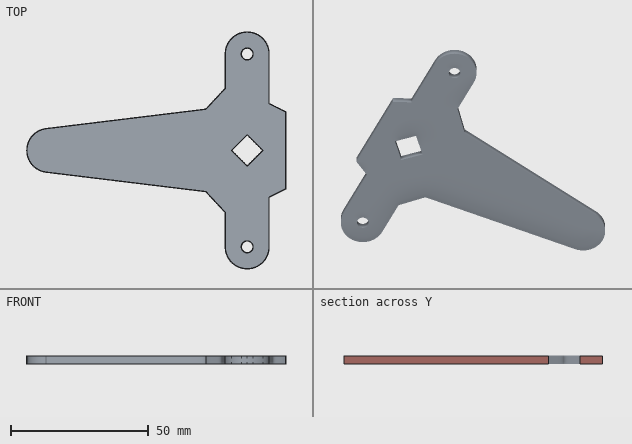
import cadquery as cq
import math

thickness = 3.0
end_radius = 8.0

tip_center_x = -72.0
lever_root_x = -15.0
lever_root_half_width = 15.0

arm_half_width = end_radius
arm_hole_offset = 35.0
arm_hole_diameter = 4.2
gusset_top_y = 22.5

nose_x = 14.0
nose_half_width = 14.0
nose_shoulder_y = 17.0

square_hole_side = 8.0
square_hole_turn = 45.0


def lever_tangent_point():
    """Point on the upper half of the tip circle where the straight lever edge touches it."""
    length_x = lever_root_x - tip_center_x
    distance = math.hypot(length_x, lever_root_half_width)
    root_direction = math.atan2(lever_root_half_width, length_x)
    touch_direction = root_direction + math.acos(end_radius / distance)
    return (
        tip_center_x + end_radius * math.cos(touch_direction),
        end_radius * math.sin(touch_direction),
    )


def make_plate():
    """Outline of the lever, the arms and the nose, extruded to the plate thickness."""
    tangent_x, tangent_y = lever_tangent_point()
    tip_end = (tip_center_x - end_radius, 0)
    arm_end_y = arm_hole_offset + end_radius
    outline = (
        cq.Workplane("XY")
        .moveTo(tangent_x, tangent_y)
        .lineTo(lever_root_x, lever_root_half_width)
        .lineTo(-arm_half_width, gusset_top_y)
        .lineTo(-arm_half_width, arm_hole_offset)
        .threePointArc((0, arm_end_y), (arm_half_width, arm_hole_offset))
        .lineTo(arm_half_width, nose_shoulder_y)
        .lineTo(nose_x, nose_half_width)
        .lineTo(nose_x, -nose_half_width)
        .lineTo(arm_half_width, -nose_shoulder_y)
        .lineTo(arm_half_width, -arm_hole_offset)
        .threePointArc((0, -arm_end_y), (-arm_half_width, -arm_hole_offset))
        .lineTo(-arm_half_width, -gusset_top_y)
        .lineTo(lever_root_x, -lever_root_half_width)
        .lineTo(tangent_x, -tangent_y)
        .threePointArc(tip_end, (tangent_x, tangent_y))
        .close()
    )
    return outline.extrude(thickness)


def make_arm_holes():
    """Round through holes, concentric with the arm ends."""
    return (
        cq.Workplane("XY")
        .pushPoints([(0, arm_hole_offset), (0, -arm_hole_offset)])
        .circle(arm_hole_diameter / 2)
        .extrude(thickness)
    )


def make_square_hole():
    """Square through hole standing on its corner."""
    return (
        cq.Workplane("XY")
        .transformed(rotate=(0, 0, square_hole_turn))
        .rect(square_hole_side, square_hole_side)
        .extrude(thickness)
    )


result = make_plate().cut(make_arm_holes()).cut(make_square_hole())